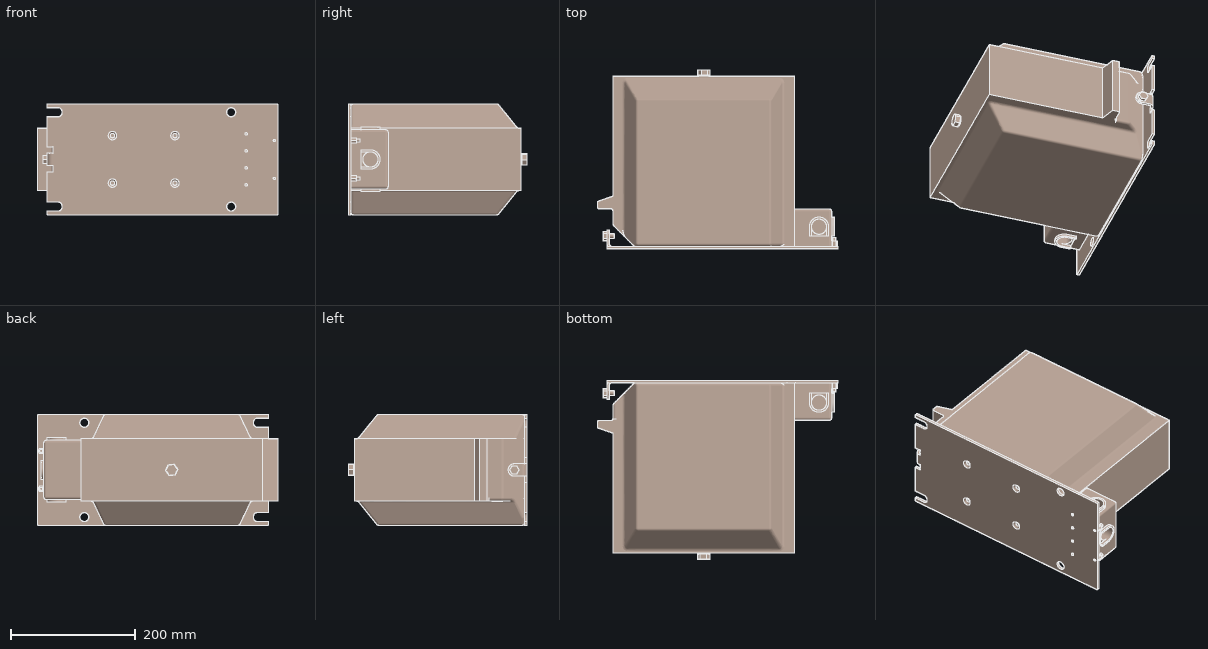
import cadquery as cq
import math

PLATE_LENGTH = 370.0
PLATE_HEIGHT = 178.0
PLATE_THICKNESS = 4.0
PLATE_CORNER_RADIUS = 2.0
PLATE_HALF_HEIGHT = PLATE_HEIGHT / 2

MOUNT_WIDTH = 14.0
MOUNT_Z = 75.5
SLOT_DEPTH = 24.0
SLOT_CORNER_RADIUS = 5.5
MOUNT_HOLE_X = 295.0

COUNTERSINK_XS = (105.0, 205.0)
COUNTERSINK_Z = 38.0
COUNTERSINK_DIAMETER = 13.5
COUNTERSINK_BOTTOM_DIAMETER = 7.0

PIN_HOLE_DIAMETER = 4.0
PIN_HOLE_X = 319.0
PIN_HOLE_PITCH = 27.2
PIN_HOLE_COUNT = 4

TAB_WIDTH = 20.0
TAB_NOTCH_HALF_WIDTH = 20.0
TAB_NOTCH_DEPTH = 10.0
FULL_ROUND_GAP = 0.01
TAB_BEND_RADIUS = 8.5
TAB_BOLT_Y = 20.5
TAB_BOLT_ACROSS_FLATS = 13.0
TAB_BOLT_HEAD_HEIGHT = 6.0
TAB_BOLT_DIAMETER = 8.0
TAB_BOLT_REACH = 8.5
TAB_BOLT_CHAMFER = 1.2

BODY_FRONT = PLATE_THICKNESS
BODY_LEFT = 9.5
BODY_RIGHT = 300.5
BODY_BACK = 276.5
BODY_HALF_HEIGHT = 50.0
SLOPE_SUM = 48.0
SLOPE_RADIUS = 7.0
BODY_EDGE_RADIUS = 5.0

HANDLE_TIP_X = -15.0
HANDLE_FRONT = 64.0
HANDLE_TIP_BACK = 76.0
HANDLE_ROOT_BACK = 84.5
HANDLE_RADIUS = 2.5

COVER_FOOT_LEFT = 28.5
COVER_FOOT_RIGHT = 281.5
COVER_FOOT_BACK = 271.0
COVER_INSET_SIDE = 18.5
COVER_INSET_BACK = 31.5
COVER_RADIUS = 5.0
COVER_FRONT_RADIUS = 4.5
SELECT_MARGIN = 1.0
SLAB_MARGIN = 6.0

BOX_RIGHT = 360.0
BOX_BACK = 64.0
BOX_HALF_HEIGHT = 47.5
BOX_RADIUS = 4.3

ENTRY_X = 339.5
ENTRY_Y = 35.5
ENTRY_RIM_RADIUS = 15.4
ENTRY_HOLE_RADIUS = 12.2
ENTRY_FOOT_Y = 20.3
ENTRY_RIM_HEIGHT = 4.0
ENTRY_RECESS_DEPTH = 1.0
ENTRY_HOLE_DEPTH = 15.0

STUD_X = 364.0
STUD_Z = 30.3
STUD_PLACES = [(STUD_X, -STUD_Z), (STUD_X, STUD_Z)]
STUD_DIAMETER = 5.0
STUD_LENGTH = 14.4
STUD_NUT_CORNER_DIAMETER = 10.0
STUD_NUT_HEIGHT = 9.0
STUD_HOLE_DIAMETER = 3.5

PLUG_X = 155.2
PLUG_CORNER_DIAMETER = 20.0
PLUG_WASHER_DIAMETER = 16.0
PLUG_WASHER_HEIGHT = 1.4
PLUG_TOP = 286.4
PLUG_TURN = 6.0


def facing_back(y):
    """Workplane at the given Y, facing +Y; local x is X and local y is -Z."""
    return cq.Workplane("XZ", origin=(0, y, 0)).transformed(rotate=(180, 0, 0))


def plan_prism(points, half_height):
    """Prism from an XY outline, symmetric about Z = 0."""
    return cq.Workplane("XY").polyline(points).close().extrude(half_height, both=True)


def box_between(x0, x1, y0, y1, z0, z1):
    """Box spanning the given limits along X, Y and Z."""
    return cq.Workplane("XY").box(x1 - x0, y1 - y0, z1 - z0, centered=False).translate((x0, y0, z0))


def near(x, y, z):
    """Selector for the object closest to a point."""
    return cq.selectors.NearestToPointSelector((x, y, z))


def make_plate():
    """Plate with rounded corners, tab notch, two open slots and two round holes."""
    plate = box_between(0, PLATE_LENGTH, 0, PLATE_THICKNESS, -PLATE_HALF_HEIGHT, PLATE_HALF_HEIGHT)
    plate = plate.edges("|Y").fillet(PLATE_CORNER_RADIUS)
    notch = box_between(0, TAB_NOTCH_DEPTH, 0, PLATE_THICKNESS, -TAB_NOTCH_HALF_WIDTH, TAB_NOTCH_HALF_WIDTH)
    plate = plate.cut(notch)
    for side in (-1, 1):
        z = side * MOUNT_Z
        slot = box_between(0, SLOT_DEPTH, 0, PLATE_THICKNESS, z - MOUNT_WIDTH / 2, z + MOUNT_WIDTH / 2)
        plate = plate.cut(slot.edges("|Y and >X").fillet(SLOT_CORNER_RADIUS))
        hole = facing_back(0).center(MOUNT_HOLE_X, z).circle(MOUNT_WIDTH / 2).extrude(PLATE_THICKNESS)
        plate = plate.cut(hole)
    return plate


def make_tab():
    """Tab bent a quarter turn, with a hexagon bolt through its round end."""
    half = TAB_WIDTH / 2
    inner = TAB_BEND_RADIUS - PLATE_THICKNESS
    tip = TAB_BOLT_Y + half
    diagonal = math.sqrt(0.5)
    centre = TAB_BEND_RADIUS
    tab = (
        cq.Workplane("XY")
        .moveTo(TAB_NOTCH_DEPTH, 0)
        .lineTo(centre, 0)
        .threePointArc((centre * (1 - diagonal), centre * (1 - diagonal)), (0, centre))
        .lineTo(0, tip)
        .lineTo(PLATE_THICKNESS, tip)
        .lineTo(PLATE_THICKNESS, centre)
        .threePointArc((centre - inner * diagonal, centre - inner * diagonal), (centre, PLATE_THICKNESS))
        .lineTo(TAB_NOTCH_DEPTH, PLATE_THICKNESS)
        .close()
        .extrude(half, both=True)
    )
    tab = tab.edges("|X and >Y").fillet(half - FULL_ROUND_GAP)
    bolt_plane = cq.Workplane("YZ").center(TAB_BOLT_Y, 0)
    corner_diameter = TAB_BOLT_ACROSS_FLATS / math.cos(math.pi / 6)
    head = bolt_plane.polygon(6, corner_diameter).extrude(-TAB_BOLT_HEAD_HEIGHT)
    shank = bolt_plane.circle(TAB_BOLT_DIAMETER / 2).extrude(PLATE_THICKNESS + TAB_BOLT_REACH)
    shank = shank.faces(">X").chamfer(TAB_BOLT_CHAMFER)
    return tab.union(head).union(shank)


def make_body():
    """Rear block with the handle rib, and front block with its left corner cut at 45 degrees."""
    split = HANDLE_FRONT - HANDLE_RADIUS
    root_x = BODY_LEFT - HANDLE_RADIUS
    root_offset = HANDLE_RADIUS * math.sqrt(0.5)
    rear_outline = [
        (BODY_LEFT, split),
        (BODY_RIGHT, split),
        (BODY_RIGHT, BODY_BACK),
        (BODY_LEFT, BODY_BACK),
        (BODY_LEFT, HANDLE_ROOT_BACK),
        (HANDLE_TIP_X, HANDLE_TIP_BACK),
        (HANDLE_TIP_X, HANDLE_FRONT),
        (root_x, HANDLE_FRONT),
    ]
    arc_middle = (root_x + root_offset, split + root_offset)
    rear = cq.Workplane("XY").polyline(rear_outline).threePointArc(arc_middle, rear_outline[0]).close()
    rear = rear.extrude(BODY_HALF_HEIGHT, both=True)
    rear = rear.edges(near(HANDLE_TIP_X, HANDLE_FRONT, 0)).fillet(HANDLE_RADIUS)

    slope_corner_y = SLOPE_SUM - BODY_LEFT
    front_outline = [
        (SLOPE_SUM - BODY_FRONT, BODY_FRONT),
        (BODY_RIGHT, BODY_FRONT),
        (BODY_RIGHT, split),
        (BODY_LEFT, split),
        (BODY_LEFT, slope_corner_y),
    ]
    front = plan_prism(front_outline, BODY_HALF_HEIGHT)
    front = front.edges(near(BODY_LEFT, slope_corner_y, 0)).fillet(SLOPE_RADIUS)
    front = front.edges(near(BODY_LEFT, split - SLOPE_RADIUS, -BODY_HALF_HEIGHT)).fillet(BODY_EDGE_RADIUS)
    return rear.union(front)


def make_cover():
    """Upper cover with sloped walls, blended into a slab that forms part of the body."""
    rise = PLATE_HALF_HEIGHT - BODY_HALF_HEIGHT

    def outline(plane, inset_side, inset_back):
        left = COVER_FOOT_LEFT + inset_side
        right = COVER_FOOT_RIGHT - inset_side
        back = COVER_FOOT_BACK - inset_back
        return plane.polyline([(left, BODY_FRONT), (right, BODY_FRONT), (right, back), (left, back)]).close()

    foot = outline(cq.Workplane("XY", origin=(0, 0, BODY_HALF_HEIGHT)), 0, 0)
    cover = outline(foot.workplane(offset=rise), COVER_INSET_SIDE, COVER_INSET_BACK).loft(ruled=True)
    cover = cover.edges("not <Z").edges("not <Y").fillet(COVER_RADIUS)

    slab_left = COVER_FOOT_LEFT - SLAB_MARGIN
    slab = box_between(slab_left, BODY_RIGHT, BODY_FRONT, BODY_BACK, 0, BODY_HALF_HEIGHT)
    cover = slab.union(cover)
    foot_edges = cq.selectors.BoxSelector(
        (slab_left + SELECT_MARGIN, BODY_FRONT, BODY_HALF_HEIGHT - SELECT_MARGIN),
        (COVER_FOOT_RIGHT + SELECT_MARGIN, COVER_FOOT_BACK + SELECT_MARGIN, BODY_HALF_HEIGHT + SELECT_MARGIN),
    )
    cover = cover.edges(foot_edges).fillet(COVER_RADIUS)

    corner = plan_prism([(0, 0), (SLOPE_SUM, 0), (0, SLOPE_SUM)], PLATE_HEIGHT)
    cover = cover.cut(corner)
    cover = cover.edges("<Y").edges(">Z").fillet(COVER_FRONT_RADIUS)
    slope_edge_x = COVER_FOOT_LEFT + COVER_INSET_SIDE / 2
    slope_edge_z = (BODY_HALF_HEIGHT + PLATE_HALF_HEIGHT) / 2
    return cover.edges(near(slope_edge_x, SLOPE_SUM - slope_edge_x, slope_edge_z)).fillet(COVER_RADIUS)


def add_terminal_entry(part, origin, normal, x_direction):
    """Raise a U-shaped rim with a shallow recess inside it, and sink a round hole in the recess."""
    plane = cq.Plane(origin=origin, xDir=x_direction, normal=normal)
    leg = ENTRY_Y - ENTRY_FOOT_Y

    def u_shape(radius, height):
        return (
            cq.Workplane(plane)
            .moveTo(-radius, -leg)
            .lineTo(radius, -leg)
            .lineTo(radius, 0)
            .threePointArc((0, radius), (-radius, 0))
            .close()
            .extrude(height)
        )

    rim = u_shape(ENTRY_RIM_RADIUS, ENTRY_RIM_HEIGHT)
    opening = u_shape(ENTRY_HOLE_RADIUS, ENTRY_RIM_HEIGHT)
    opening = opening.union(u_shape(ENTRY_HOLE_RADIUS, -ENTRY_RECESS_DEPTH))
    hole = cq.Workplane(plane).circle(ENTRY_HOLE_RADIUS).extrude(-ENTRY_HOLE_DEPTH)
    return part.union(rim).cut(opening).cut(hole)


def make_terminal_box():
    """Box with rounded right and back edges and cable entries above, below and on the right."""
    box = box_between(BODY_RIGHT, BOX_RIGHT, BODY_FRONT, BOX_BACK, -BOX_HALF_HEIGHT, BOX_HALF_HEIGHT)
    box = box.faces(">X or >Y").edges("not <X").edges("not <Y").fillet(BOX_RADIUS)
    for side in (-1, 1):
        origin = (ENTRY_X, ENTRY_Y, side * BOX_HALF_HEIGHT)
        box = add_terminal_entry(box, origin, (0, 0, side), (side, 0, 0))
    return add_terminal_entry(box, (BOX_RIGHT, ENTRY_Y, 0), (1, 0, 0), (0, 0, -1))


def make_plug():
    """Hexagonal filler plug on a round washer, centred on the back wall."""
    washer_top = BODY_BACK + PLUG_WASHER_HEIGHT
    washer = facing_back(BODY_BACK).center(PLUG_X, 0).circle(PLUG_WASHER_DIAMETER / 2)
    washer = washer.extrude(PLUG_WASHER_HEIGHT)
    head = (
        facing_back(washer_top)
        .center(PLUG_X, 0)
        .transformed(rotate=(0, 0, PLUG_TURN))
        .polygon(6, PLUG_CORNER_DIAMETER)
        .extrude(PLUG_TOP - washer_top)
    )
    return washer.union(head)


def make_studs():
    """Studs with hexagonal nuts standing on the back of the plate."""
    base = facing_back(PLATE_THICKNESS).pushPoints(STUD_PLACES)
    nuts = base.polygon(6, STUD_NUT_CORNER_DIAMETER).extrude(STUD_NUT_HEIGHT)
    shanks = base.circle(STUD_DIAMETER / 2).extrude(STUD_LENGTH)
    return nuts.union(shanks)


def cut_plate_holes(part):
    """Blind openings in the front face that end on what lies behind the plate."""
    places = [(x, side * COUNTERSINK_Z) for x in COUNTERSINK_XS for side in (-1, 1)]
    for x, z in places:
        cone = cq.Solid.makeCone(
            COUNTERSINK_DIAMETER / 2,
            COUNTERSINK_BOTTOM_DIAMETER / 2,
            PLATE_THICKNESS,
            pnt=cq.Vector(x, 0, z),
            dir=cq.Vector(0, 1, 0),
        )
        part = part.cut(cq.Workplane(cone))
    pin_zs = [PIN_HOLE_PITCH * (i - (PIN_HOLE_COUNT - 1) / 2) for i in range(PIN_HOLE_COUNT)]
    pin_places = [(PIN_HOLE_X, z) for z in pin_zs]
    pins = facing_back(0).pushPoints(pin_places).circle(PIN_HOLE_DIAMETER / 2).extrude(PLATE_THICKNESS)
    stud_holes = facing_back(0).pushPoints(STUD_PLACES).circle(STUD_HOLE_DIAMETER / 2)
    stud_holes = stud_holes.extrude(PLATE_THICKNESS)
    return part.cut(pins).cut(stud_holes)


cover = make_cover()
result = make_plate().union(make_tab()).union(make_body())
result = result.union(cover).union(cover.mirror("XY"))
result = result.union(make_terminal_box()).union(make_plug()).union(make_studs())
result = cut_plate_holes(result)